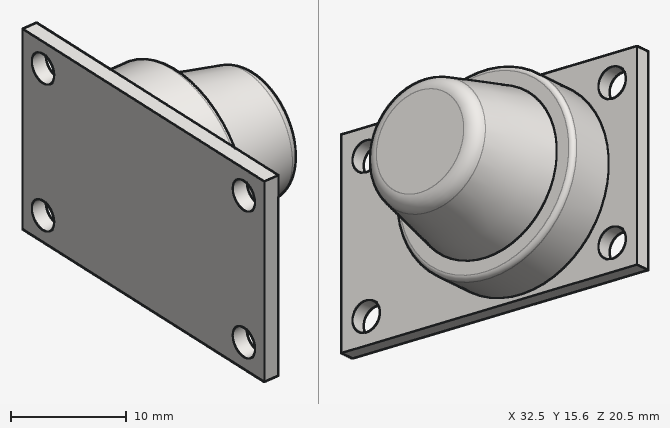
import cadquery as cq

plate_length = 32.5
plate_height = 20.5
plate_thickness = 1.6

hole_diameter = 3.0
hole_spacing_x = 27.0
hole_spacing_z = 15.0

base_diameter = 19.6
base_depth = 5.0
base_edge_radius = 0.5
base_offset_x = -3.35
total_depth = 15.6
dome_root_diameter = 16.0
dome_tip_diameter = 12.0
dome_edge_radius = 1.5

dome_depth = total_depth - plate_thickness - base_depth


def disc_plane(y):
    """Plane at depth y, centred on the sensor axis and facing +Y."""
    return cq.Plane(origin=(base_offset_x, y, 0), xDir=(1, 0, 0), normal=(0, 1, 0))


def make_plate():
    plate = cq.Workplane("XY").box(
        plate_length, plate_thickness, plate_height, centered=(True, False, True)
    )
    return (
        plate.faces("<Y")
        .workplane(origin=(0, 0, 0))
        .rarray(hole_spacing_x, hole_spacing_z, 2, 2)
        .hole(hole_diameter)
    )


def make_base():
    base = cq.Workplane(disc_plane(plate_thickness)).circle(base_diameter / 2).extrude(base_depth)
    return base.faces(">Y").edges().fillet(base_edge_radius)


def make_dome():
    dome = (
        cq.Workplane(disc_plane(plate_thickness + base_depth))
        .circle(dome_root_diameter / 2)
        .workplane(offset=dome_depth)
        .circle(dome_tip_diameter / 2)
        .loft(ruled=True)
    )
    return dome.faces(">Y").edges().fillet(dome_edge_radius)


result = make_plate().union(make_base()).union(make_dome())